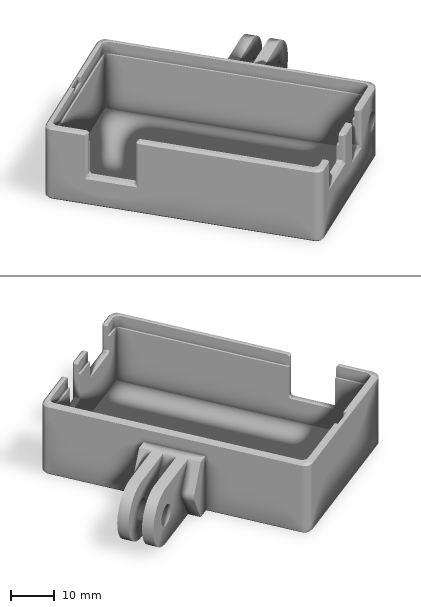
import cadquery as cq
import math


length = 66.5
width = 42.15
height = 18.9
wall = 2.0
floor = 1.5
corner_radius = 2.0
edge_chamfer = 0.5
chamfer_angle = 45

lip_wall = 1.5
lip_depth = 3.0
lip_corner_radius = 1.5

front_opening = (-17.0, 11.5, 11.5)
right_openings = [
    (5.15, 6.0, 10.0),
    (-9.35, 11.5, 7.4),
]
opening_reach = 4.0

side_hole_diameter = 5.0
side_hole_y = 16.25
side_hole_z = 11.0

notch_length = 5.0
notch_wall = 0.75
notch_depth = 1.5

overall_width = 65.15
mount_height = 15.0
mount_length = 15.2
mount_shoulder = 2.65
nose_slope = math.radians(60)
nose_radius = 2.0
mount_overlap = 1.0
ear_thickness = 2.8
ear_gap = 3.3
ear_radius = mount_height / 2
pivot_diameter = 5.3

front_y = -width / 2
back_y = width / 2
right_x = length / 2


def make_block():
    """Solid tray block with rounded corners and chamfered top and bottom edges."""
    return (
        cq.Workplane("XY")
        .box(length, width, height, centered=(True, True, False))
        .edges("|Z")
        .fillet(corner_radius)
        .faces(">Z or <Z")
        .edges()
        .chamfer(edge_chamfer)
    )


def make_corner_fill(side, span, depth):
    """Small sloping fill of one bottom corner of an opening; side is -1 or 1.

    It is a triangular bar that tapers to a point at the outer corner of the face chamfer.
    """
    corner_x = side * span / 2
    corner_z = height - depth
    bar_profile = [
        (corner_x, corner_z),
        (corner_x - side * edge_chamfer, corner_z),
        (corner_x, corner_z + edge_chamfer),
    ]
    bar = (
        cq.Workplane("XZ", origin=(0, edge_chamfer, 0))
        .polyline(bar_profile)
        .close()
        .extrude(edge_chamfer - opening_reach)
    )
    base = [cq.Vector(x, edge_chamfer, z) for x, z in bar_profile]
    apex = cq.Vector(corner_x + side * edge_chamfer, 0, corner_z - edge_chamfer)
    triangles = [base] + [[base[i - 1], base[i], apex] for i in range(len(base))]
    faces = [cq.Face.makeFromWires(cq.Wire.makePolygon(points, close=True)) for points in triangles]
    tip = cq.Solid.makeSolid(cq.Shell.makeShell(faces))
    return bar.union(cq.Workplane(tip))


def make_opening(span, depth):
    """Cutter for one rim opening in a wall whose outer face is Y = 0 and whose inside is +Y."""
    flared_span = span + 2 * edge_chamfer
    slot = (
        cq.Workplane("XY")
        .box(span, opening_reach, 2 * depth)
        .translate((0, opening_reach / 2, height))
    )
    face_chamfer = (
        cq.Workplane("XZ", origin=(0, 0, height))
        .rect(flared_span, 2 * (depth + edge_chamfer))
        .extrude(-edge_chamfer, taper=chamfer_angle)
    )
    rim_chamfer = (
        cq.Workplane("XY", origin=(0, 0, height))
        .rect(flared_span, 2 * opening_reach)
        .extrude(-edge_chamfer, taper=chamfer_angle)
    )
    cutter = slot.union(face_chamfer).union(rim_chamfer)
    for side in (-1, 1):
        cutter = cutter.cut(make_corner_fill(side, span, depth))
    return cutter


def make_openings():
    """All rim openings, placed on the -Y and +X walls."""
    center, span, depth = front_opening
    openings = make_opening(span, depth).translate((center, front_y, 0))
    for center, span, depth in right_openings:
        opening = make_opening(span, depth).rotate((0, 0, 0), (0, 0, 1), 90)
        openings = openings.union(opening.translate((right_x, center, 0)))
    return openings


def make_cavity():
    """Sharp-cornered pocket below a wider, round-cornered lip recess."""
    pocket = (
        cq.Workplane("XY")
        .workplane(offset=floor)
        .rect(length - 2 * wall, width - 2 * wall)
        .extrude(height - lip_depth - floor)
    )
    recess = (
        cq.Workplane("XY")
        .workplane(offset=height - lip_depth)
        .rect(length - 2 * lip_wall, width - 2 * lip_wall)
        .extrude(lip_depth)
        .edges("|Z")
        .fillet(lip_corner_radius)
    )
    return pocket.union(recess)


def make_side_hole():
    """Hole through the +X wall."""
    return (
        cq.Workplane("YZ")
        .workplane(offset=right_x - opening_reach)
        .center(side_hole_y, side_hole_z)
        .circle(side_hole_diameter / 2)
        .extrude(2 * opening_reach)
    )


def make_pry_notch():
    """Shallow pocket in the top of the lip, leaving a thin outer skin."""
    cut_reach = wall
    return (
        cq.Workplane("XY")
        .box(cut_reach - notch_wall, notch_length, notch_depth)
        .translate(((cut_reach + notch_wall) / 2 - right_x, 0, height - notch_depth / 2))
    )


def make_mount_block():
    """Full-width base of the hinge with a rounded wedge-shaped nose."""
    root_y = back_y - mount_overlap
    shoulder_y = back_y + mount_shoulder
    nose_y = shoulder_y + mount_height / 2 / math.tan(nose_slope)
    return (
        cq.Workplane("YZ")
        .workplane(offset=-mount_length / 2)
        .moveTo(root_y, 0)
        .lineTo(shoulder_y, 0)
        .lineTo(nose_y, mount_height / 2)
        .lineTo(shoulder_y, mount_height)
        .lineTo(root_y, mount_height)
        .close()
        .extrude(mount_length)
        .edges(">Y")
        .fillet(nose_radius)
    )


def make_ear(start_x):
    """Round-ended hinge ear with its pivot hole, starting at start_x."""
    root_y = back_y - mount_overlap
    tip_y = front_y + overall_width
    pivot_y = tip_y - ear_radius
    return (
        cq.Workplane("YZ")
        .workplane(offset=start_x)
        .moveTo(root_y, 0)
        .lineTo(pivot_y, 0)
        .threePointArc((tip_y, ear_radius), (pivot_y, mount_height))
        .lineTo(root_y, mount_height)
        .close()
        .moveTo(pivot_y, ear_radius)
        .circle(pivot_diameter / 2)
        .extrude(ear_thickness)
    )


tray = make_block()
for cutter in (make_openings(), make_cavity(), make_side_hole(), make_pry_notch()):
    tray = tray.cut(cutter)

result = tray.union(make_mount_block())
for ear_start in (-ear_gap / 2 - ear_thickness, ear_gap / 2):
    result = result.union(make_ear(ear_start))